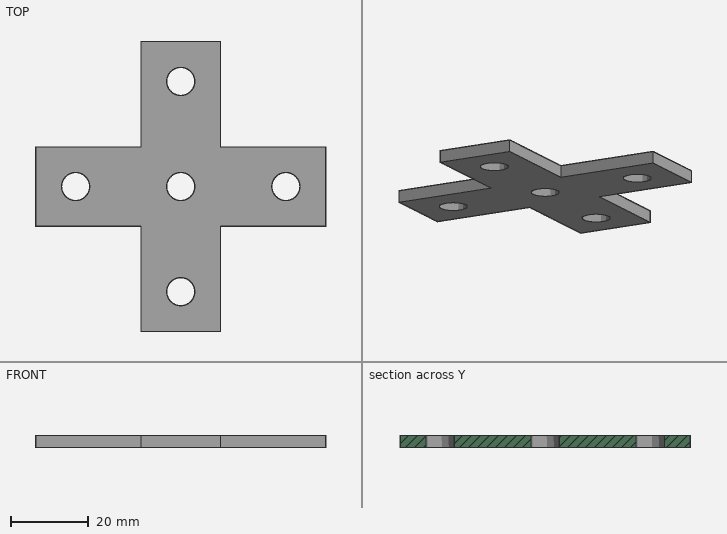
import cadquery as cq

span = 74.6
arm_width = 20.45
thickness = 3.1
hole_diameter = 7.15
hole_pitch = 27.0

bar_along_x = cq.Workplane("XY").box(span, arm_width, thickness)
bar_along_y = cq.Workplane("XY").box(arm_width, span, thickness)
cross = bar_along_x.union(bar_along_y)

hole_centers = [
    (0, 0),
    (hole_pitch, 0),
    (-hole_pitch, 0),
    (0, hole_pitch),
    (0, -hole_pitch),
]
result = cross.faces(">Z").workplane(origin=(0, 0, 0)).pushPoints(hole_centers).hole(hole_diameter)